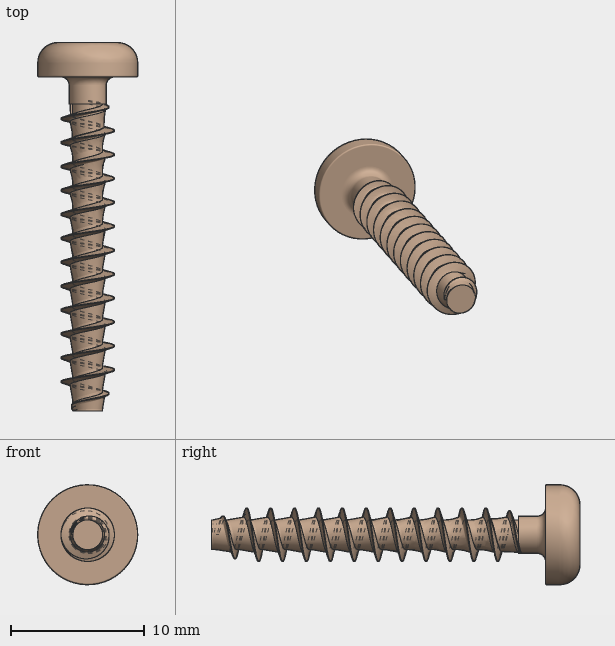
import cadquery as cq
import math

HEAD_RADIUS = 3.75
HEAD_HEIGHT = 2.59
HEAD_RIM_HEIGHT = 1.07
HEAD_DOME_RADIUS = HEAD_HEIGHT - HEAD_RIM_HEIGHT
HEAD_EDGE_ROUND = 0.1

SHANK_LENGTH = 25.0
NECK_RADIUS = 1.4
NECK_FILLET = 0.6
NECK_LENGTH = 2.03
CORE_RADIUS = 1.12

PITCH = 1.79
THREAD_TURNS = 13
THREAD_START_DEPTH = 1.33
START_ANGLE = math.pi
CREST_RADIUS = 2.0
CREST_WIDTH = 0.06
ROOT_WIDTH = 0.46
RUNOUT_TURNS = 1.0
THREAD_END_RADIUS = 1.2

SWELL_RADIUS = 1.33
SWELL_END_RADIUS = CORE_RADIUS - 0.015
NECK_SWELL_END_RADIUS = 1.3
SETTLING_TURNS = 1.5

FOOT_RADIUS = CORE_RADIUS - 0.13
FOOT_FLARE = 0.04
TURN_GAP = 0.01
TIP_MARGIN = 0.05
POINTS_PER_TURN = 12


def make_blank():
    """Revolved head, neck and plain core."""
    diagonal = math.sqrt(0.5)
    dome_centre_radius = HEAD_RADIUS - HEAD_DOME_RADIUS
    dome_middle = (
        dome_centre_radius + HEAD_DOME_RADIUS * diagonal,
        HEAD_RIM_HEIGHT + HEAD_DOME_RADIUS * diagonal,
    )
    edge_middle = (
        HEAD_RADIUS - HEAD_EDGE_ROUND * (1 - diagonal),
        HEAD_EDGE_ROUND * (1 - diagonal),
    )
    fillet_middle = (
        NECK_RADIUS + NECK_FILLET * (1 - diagonal),
        -NECK_FILLET * (1 - diagonal),
    )
    return (
        cq.Workplane("XY")
        .moveTo(0, HEAD_HEIGHT)
        .lineTo(dome_centre_radius, HEAD_HEIGHT)
        .threePointArc(dome_middle, (HEAD_RADIUS, HEAD_RIM_HEIGHT))
        .lineTo(HEAD_RADIUS, HEAD_EDGE_ROUND)
        .threePointArc(edge_middle, (HEAD_RADIUS - HEAD_EDGE_ROUND, 0))
        .lineTo(NECK_RADIUS + NECK_FILLET, 0)
        .threePointArc(fillet_middle, (NECK_RADIUS, -NECK_FILLET))
        .lineTo(NECK_RADIUS, -NECK_LENGTH)
        .lineTo(CORE_RADIUS, -NECK_LENGTH)
        .lineTo(CORE_RADIUS, -SHANK_LENGTH)
        .lineTo(0, -SHANK_LENGTH)
        .close()
        .revolve(360, (0, 0, 0), (0, 1, 0))
    )


def run_out(full_radius, turns_to_end):
    """Radius that shrinks linearly to the thread end radius over the run-out."""
    share = min(turns_to_end / RUNOUT_TURNS, 1)
    return THREAD_END_RADIUS + (full_radius - THREAD_END_RADIUS) * share


def thread_depth(turn):
    """Depth of the thread centre below the head after a number of turns."""
    return THREAD_START_DEPTH + PITCH * turn


def profile_at(turn):
    """Corners (radius, offset along Y) of the thread section after a number of turns."""
    turns_to_tip = THREAD_TURNS - turn
    crest_radius = run_out(CREST_RADIUS, min(turn, turns_to_tip))
    swell_radius = run_out(SWELL_RADIUS, turns_to_tip)
    settling = max(1 - turn / SETTLING_TURNS, 0)
    swell_end_radius = SWELL_END_RADIUS + (NECK_SWELL_END_RADIUS - SWELL_END_RADIUS) * settling
    tip_offset = thread_depth(turn) - SHANK_LENGTH + TIP_MARGIN
    foot_start = ROOT_WIDTH / 2 + FOOT_FLARE
    swell_end = max(foot_start - PITCH + TURN_GAP, tip_offset)
    return [
        (FOOT_RADIUS, foot_start),
        (crest_radius, CREST_WIDTH / 2),
        (crest_radius, -CREST_WIDTH / 2),
        (swell_radius, -ROOT_WIDTH / 2),
        (swell_end_radius, swell_end),
        (FOOT_RADIUS, swell_end),
    ]


def thread_point(turn, corner):
    """Position in space of one section corner after a number of turns."""
    radius, offset = profile_at(turn)[corner]
    angle = START_ANGLE + 2 * math.pi * turn
    return cq.Vector(
        radius * math.cos(angle),
        offset - thread_depth(turn),
        radius * math.sin(angle),
    )


def make_thread():
    """Closed helical body bounded by ruled faces between neighbouring corner curves."""
    steps = THREAD_TURNS * POINTS_PER_TURN
    turns = [step / POINTS_PER_TURN for step in range(steps + 1)]
    corner_count = len(profile_at(0))
    curves = []
    for corner in range(corner_count):
        points = [thread_point(turn, corner) for turn in turns]
        curves.append(cq.Edge.makeSpline(points))
    faces = []
    for corner in range(corner_count):
        following = (corner + 1) % corner_count
        faces.append(cq.Face.makeRuledSurface(curves[corner], curves[following]))
    for turn in (0, THREAD_TURNS):
        corners = [thread_point(turn, corner) for corner in range(corner_count)]
        faces.append(cq.Face.makeFromWires(cq.Wire.makePolygon(corners, close=True)))
    return cq.Solid.makeSolid(cq.Shell.makeShell(faces))


thread = cq.Workplane(obj=make_thread())
result = make_blank().union(thread)